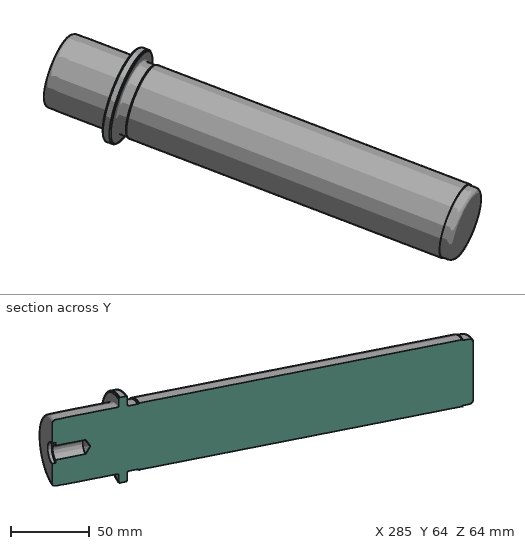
import cadquery as cq
import math

length = 285.0
shank_radius = 25.0
relief_radius = 24.5

head_fillet = 2.8
head_lead_length = 9.7
lead_step = 0.15

collar_diameter = 64.0
collar_radius = collar_diameter / 2
collar_start = 45.0
collar_width = 6.0
collar_end = collar_start + collar_width
collar_chamfer = 0.9
head_root_fillet = 0.9
undercut_root_fillet = 1.5

undercut_end = 58.0
undercut_ramp = 0.9

tip_lead_length = 7.5
tip_fillet = 3.5

counterbore_radius = 7.5
counterbore_depth = 2.5
bore_radius = 5.0
bore_depth = 22.8
drill_point_angle = 118.0


def arc_middle(center, radius, degrees):
    """Point on a circle at the given angle, the middle of a quarter arc."""
    angle = math.radians(degrees)
    return (center[0] + radius * math.cos(angle), center[1] + radius * math.sin(angle))


def revolve_about_axis(profile):
    return profile.close().revolve(360, (0, 0, 0), (1, 0, 0))


def make_pin():
    lead_radius = shank_radius - lead_step
    head_center = (head_fillet, lead_radius - head_fillet)
    front_root = (collar_start - head_root_fillet, shank_radius + head_root_fillet)
    back_root = (collar_end + undercut_root_fillet, relief_radius + undercut_root_fillet)
    tip_center = (length - tip_fillet, relief_radius - tip_fillet)
    collar_side_radius = collar_radius - collar_chamfer
    profile = (
        cq.Workplane("XY")
        .moveTo(0, 0)
        .lineTo(0, head_center[1])
        .threePointArc(arc_middle(head_center, head_fillet, 135), (head_fillet, lead_radius))
        .lineTo(head_lead_length, shank_radius)
        .lineTo(front_root[0], shank_radius)
        .threePointArc(arc_middle(front_root, head_root_fillet, -45), (collar_start, front_root[1]))
        .lineTo(collar_start, collar_side_radius)
        .lineTo(collar_start + collar_chamfer, collar_radius)
        .lineTo(collar_end - collar_chamfer, collar_radius)
        .lineTo(collar_end, collar_side_radius)
        .lineTo(collar_end, back_root[1])
        .threePointArc(arc_middle(back_root, undercut_root_fillet, 225), (back_root[0], relief_radius))
        .lineTo(undercut_end, relief_radius)
        .lineTo(undercut_end + undercut_ramp, shank_radius)
        .lineTo(length - tip_lead_length, shank_radius)
        .lineTo(length - tip_lead_length, relief_radius)
        .lineTo(tip_center[0], relief_radius)
        .threePointArc(arc_middle(tip_center, tip_fillet, 45), (length, tip_center[1]))
        .lineTo(length, 0)
    )
    return revolve_about_axis(profile)


def make_center_hole():
    point_depth = bore_radius / math.tan(math.radians(drill_point_angle / 2))
    profile = (
        cq.Workplane("XY")
        .moveTo(0, 0)
        .lineTo(0, counterbore_radius)
        .lineTo(counterbore_depth, counterbore_radius)
        .lineTo(counterbore_depth, bore_radius)
        .lineTo(bore_depth, bore_radius)
        .lineTo(bore_depth + point_depth, 0)
    )
    return revolve_about_axis(profile)


result = make_pin().cut(make_center_hole())